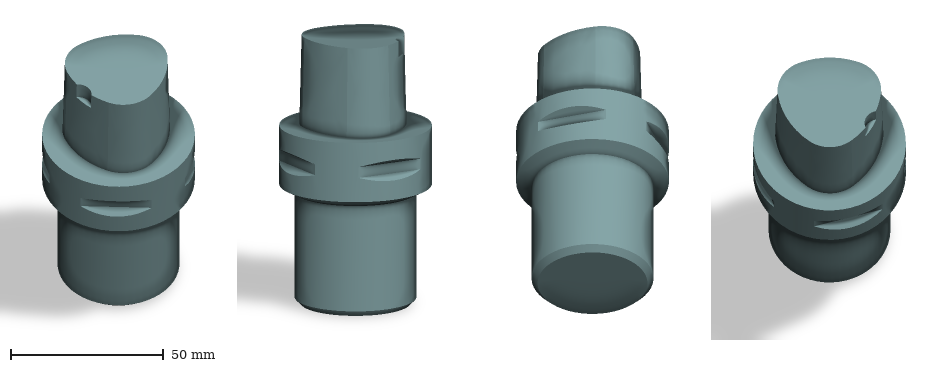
import cadquery as cq
import math

TOTAL_HEIGHT = 90
TAPER_HEIGHT = 30.0
FLANGE_HEIGHT = 20.0
FLANGE_TOP = TOTAL_HEIGHT - TAPER_HEIGHT
FLANGE_BOTTOM = FLANGE_TOP - FLANGE_HEIGHT

FLANGE_RADIUS = 50.0 / 2
SHANK_RADIUS = 40.0 / 2
SHOULDER_HEIGHT = 2.5
SHANK_CHAMFER = 2.0

LOBE_REACH = 18.6
SIDE_REACH = 16.4
LOBE_RADIUS = 11.9
LOBE_COUNT = 3
TAPER_ANGLE = math.degrees(math.atan(1 / 40))

KEYWAY_RADIUS = 4.5
KEYWAY_CENTER_Y = -18.3
KEYWAY_DEPTH = 5.7

GROOVE_COUNT = 4
GROOVE_FIRST_ANGLE = 45
GROOVE_Z = FLANGE_TOP - FLANGE_HEIGHT / 2
GROOVE_FLOOR_DISTANCE = 22.1
GROOVE_FLOOR_WIDTH = 3.6
GROOVE_FLANK_ANGLE = 30

CUT_MARGIN = 1.8


def polar(radius, angle):
    """Point at the given radius and angle in degrees."""
    return (radius * math.cos(math.radians(angle)), radius * math.sin(math.radians(angle)))


def make_body():
    """Shank, conical shoulder and flange as one turned solid."""
    return (
        cq.Workplane("XZ")
        .moveTo(0, 0)
        .lineTo(SHANK_RADIUS - SHANK_CHAMFER, 0)
        .lineTo(SHANK_RADIUS, SHANK_CHAMFER)
        .lineTo(SHANK_RADIUS, FLANGE_BOTTOM - SHOULDER_HEIGHT)
        .lineTo(FLANGE_RADIUS, FLANGE_BOTTOM)
        .lineTo(FLANGE_RADIUS, FLANGE_TOP)
        .lineTo(0, FLANGE_TOP)
        .close()
        .revolve(360, (0, 0), (0, 1))
    )


def make_taper():
    """Polygon taper whose lobe and side arcs meet tangentially."""
    lobe_offset = LOBE_REACH - LOBE_RADIUS
    pitch = 360 / LOBE_COUNT
    lobe_x, lobe_y = polar(lobe_offset, pitch / 2)

    gap = SIDE_REACH - lobe_x
    side_radius = (gap**2 + lobe_y**2 - LOBE_RADIUS**2) / (2 * (gap - LOBE_RADIUS))
    side_center_x = SIDE_REACH - side_radius
    joint_direction = math.degrees(math.atan2(lobe_y, lobe_x - side_center_x))
    joint_x, joint_y = polar(side_radius, joint_direction)
    joint_x += side_center_x
    joint_radius = math.hypot(joint_x, joint_y)
    joint_angle = math.degrees(math.atan2(joint_y, joint_x))

    first_lobe = 90
    start = polar(joint_radius, first_lobe - pitch / 2 + joint_angle)
    outline = cq.Workplane("XY").workplane(offset=FLANGE_TOP).moveTo(*start)
    for index in range(LOBE_COUNT):
        lobe = first_lobe + index * pitch
        side = lobe + pitch / 2
        outline = outline.threePointArc(
            polar(LOBE_REACH, lobe), polar(joint_radius, side - joint_angle)
        )
        outline = outline.threePointArc(
            polar(SIDE_REACH, side), polar(joint_radius, side + joint_angle)
        )
    return outline.close().extrude(TAPER_HEIGHT, taper=TAPER_ANGLE)


def make_keyway():
    """Round-backed notch open at the top and front of the taper."""
    return (
        cq.Workplane("XY")
        .workplane(offset=TOTAL_HEIGHT - KEYWAY_DEPTH)
        .center(0, KEYWAY_CENTER_Y)
        .circle(KEYWAY_RADIUS)
        .extrude(KEYWAY_DEPTH + CUT_MARGIN)
    )


def make_groove(angle):
    """Straight groove with sloping flanks, facing outward at the given angle."""
    outer_distance = FLANGE_RADIUS + CUT_MARGIN
    floor_half = GROOVE_FLOOR_WIDTH / 2
    flank_rise = (outer_distance - GROOVE_FLOOR_DISTANCE) * math.tan(math.radians(GROOVE_FLANK_ANGLE))
    outer_half = floor_half + flank_rise
    return (
        cq.Workplane("XZ")
        .polyline([
            (GROOVE_FLOOR_DISTANCE, GROOVE_Z - floor_half),
            (outer_distance, GROOVE_Z - outer_half),
            (outer_distance, GROOVE_Z + outer_half),
            (GROOVE_FLOOR_DISTANCE, GROOVE_Z + floor_half),
        ])
        .close()
        .extrude(FLANGE_RADIUS, both=True)
        .rotate((0, 0, 0), (0, 0, 1), angle)
    )


result = make_body().union(make_taper()).cut(make_keyway())
for groove_index in range(GROOVE_COUNT):
    result = result.cut(make_groove(GROOVE_FIRST_ANGLE + groove_index * 360 / GROOVE_COUNT))